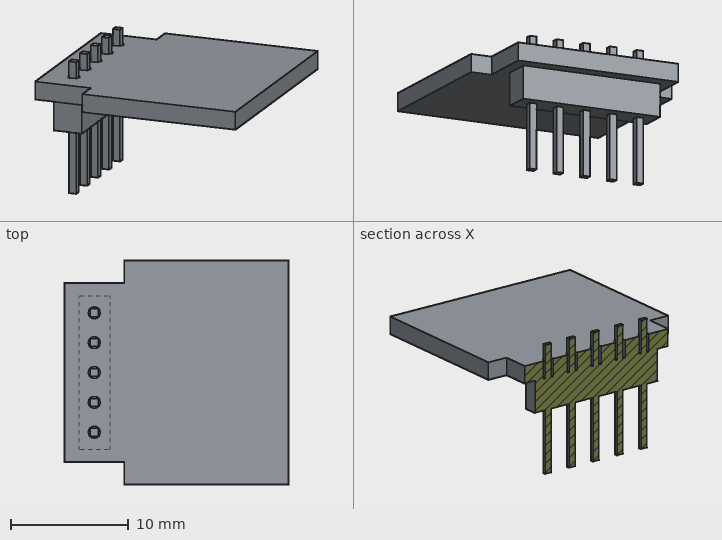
import cadquery as cq

board_size = 19.05
board_thickness = 1.6
tab_length = 5.09
tab_width = 15.2

pin_count = 5
pin_pitch = 2.53
pin_width = 0.65
pin_length = 11.7
pin_rise = 1.41
hole_diameter = 1.0
header_width = 2.6
header_length = 13.0
header_height = 2.91

pin_x = -board_size / 2 + tab_length / 2
pin_top = board_thickness + pin_rise
pin_points = [(pin_x, (i - (pin_count - 1) / 2) * pin_pitch) for i in range(pin_count)]


def make_board():
    """Square plate, narrowed to a tab on the -X side, with pin holes."""
    main_length = board_size - tab_length
    main = cq.Workplane("XY").box(main_length, board_size, board_thickness, centered=(True, True, False))
    tab = cq.Workplane("XY").box(tab_length, tab_width, board_thickness, centered=(True, True, False))
    main = main.translate((tab_length / 2, 0, 0))
    tab = tab.translate((pin_x, 0, 0))
    holes = cq.Workplane("XY").pushPoints(pin_points).circle(hole_diameter / 2).extrude(board_thickness)
    return main.union(tab).cut(holes)


def make_header():
    """Plastic strip seated against the underside of the board."""
    return (
        cq.Workplane("XY")
        .center(pin_x, 0)
        .rect(header_width, header_length)
        .extrude(-header_height)
    )


def make_pins():
    """Square pins running through the strip and the board holes."""
    return (
        cq.Workplane("XY", origin=(0, 0, pin_top))
        .pushPoints(pin_points)
        .rect(pin_width, pin_width)
        .extrude(-pin_length)
    )


result = make_board().union(make_header()).union(make_pins())